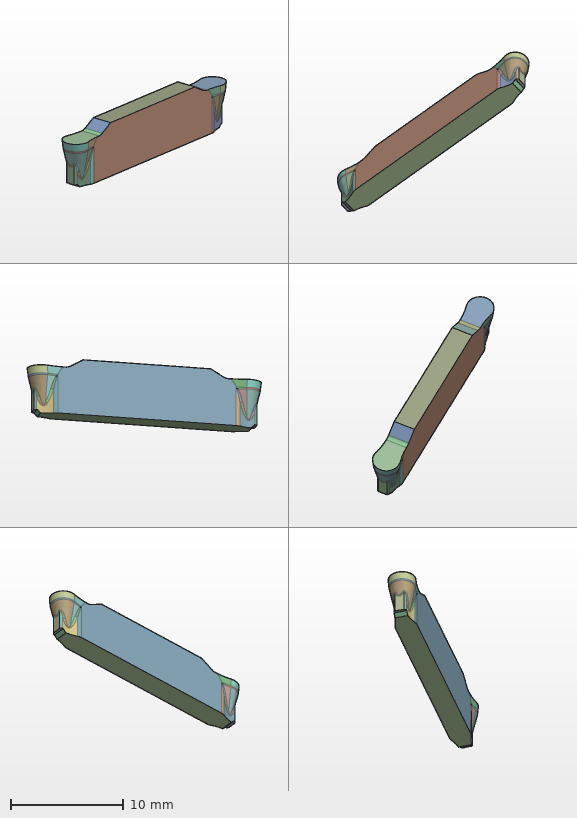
import cadquery as cq
import math


LENGTH = 21.4
HEIGHT = 5.1
BODY_WIDTH = 2.0
END_Y = LENGTH / 2
BODY_HALF = BODY_WIDTH / 2

RAKE_Z = 4.31
CREST_END_Y = 5.85
RAMP_ANGLE = 30
RAMP_FILLET = 0.9
RAMP_FOOT_Y = CREST_END_Y + (HEIGHT - RAKE_Z) / math.tan(math.radians(RAMP_ANGLE))
WAIST_Y = RAMP_FOOT_Y + RAMP_FILLET * math.tan(math.radians(RAMP_ANGLE / 2))

NOSE_Y = 10.235
NOSE_HALF = 0.59
NOSE_FLAT_HALF = 0.42
NOSE_CORNER_Y = 10.02
SHOULDER_Y = 8.17
FLARE_END_Y = 8.55
FLARE_RISE = 0.33
CHAMFER_Z = 0.32
CHAMFER_START_Y = 9.655

HEAD_DIAMETER = 2.49
PRIMARY_FRONT_ANGLE = 7
PRIMARY_SIDE_ANGLE = 4
PRIMARY_WAIST_ANGLE = 3
SECONDARY_FRONT_ANGLE = 13.5
PRIMARY_END_Z = 3.57
SECONDARY_START_Z = 3.42
HEAD_BOTTOM_Z = 0.5
HEAD_BOTTOM_RADIUS = 0.62
HEAD_BOTTOM_WAIST_HALF = 0.61

JUNCTION_FILLET = 0.5
MIN_JUNCTION_RISE = 0.01


def arc_middle(start, end, center):
    """Point halfway along the short arc between two points around a center."""
    mid_x = (start[0] + end[0]) / 2 - center[0]
    mid_y = (start[1] + end[1]) / 2 - center[1]
    radius = math.hypot(start[0] - center[0], start[1] - center[1])
    scale = radius / math.hypot(mid_x, mid_y)
    return (center[0] + mid_x * scale, center[1] + mid_y * scale)


def mirrored(point):
    return (-point[0], point[1])


def make_profile():
    """Side profile with ramps and bottom chamfers, wide enough to cover the body."""
    chamfer_end_y = CHAMFER_START_Y + CHAMFER_Z
    half = [
        (CREST_END_Y, HEIGHT),
        (RAMP_FOOT_Y, RAKE_Z),
        (NOSE_Y, RAKE_Z),
        (NOSE_Y, CHAMFER_Z),
        (chamfer_end_y, CHAMFER_Z),
        (CHAMFER_START_Y, 0),
    ]
    outline = half + [mirrored(point) for point in reversed(half)]
    profile = cq.Workplane("YZ").polyline(outline).close().extrude(BODY_HALF, both=True)
    for side in (-1, 1):
        foot = cq.selectors.NearestToPointSelector((0, side * RAMP_FOOT_Y, RAKE_Z))
        profile = profile.edges(foot).fillet(RAMP_FILLET)
    return profile


def make_plan():
    """Plan shape of the body: straight sides blending by two tangent arcs into each nose."""
    flare_length = NOSE_CORNER_Y - FLARE_END_Y
    flare_radius = (flare_length**2 + FLARE_RISE**2) / (2 * FLARE_RISE)
    flare_center = (NOSE_HALF + flare_radius, NOSE_CORNER_Y)
    shoulder = (BODY_HALF, SHOULDER_Y)
    flare_end = (NOSE_HALF + FLARE_RISE, FLARE_END_Y)
    corner = (NOSE_HALF, NOSE_CORNER_Y)
    flat_end = (NOSE_FLAT_HALF, NOSE_Y)

    step_x = BODY_HALF - flare_end[0]
    step_y = FLARE_END_Y - SHOULDER_Y
    shoulder_radius = (step_x**2 + step_y**2) / (2 * step_x)
    shoulder_center = (BODY_HALF - shoulder_radius, SHOULDER_Y)
    shoulder_mid = arc_middle(shoulder, flare_end, shoulder_center)
    flare_mid = arc_middle(flare_end, corner, flare_center)
    corner_mid = arc_middle(corner, flat_end, (NOSE_FLAT_HALF, NOSE_CORNER_Y))

    half = (
        cq.Workplane("XY")
        .moveTo(BODY_HALF, 0)
        .lineTo(*shoulder)
        .threePointArc(shoulder_mid, flare_end)
        .threePointArc(flare_mid, corner)
        .threePointArc(corner_mid, flat_end)
        .lineTo(*mirrored(flat_end))
        .threePointArc(mirrored(corner_mid), mirrored(corner))
        .threePointArc(mirrored(flare_mid), mirrored(flare_end))
        .threePointArc(mirrored(shoulder_mid), mirrored(shoulder))
        .lineTo(-BODY_HALF, 0)
        .close()
        .extrude(HEIGHT)
    )
    return half.union(half.mirror("XZ"))


def head_section(z, radius, tip_y, waist_half):
    """Keyhole outline: round end joined by tangent concave arcs to a waist."""
    center_y = tip_y - radius
    rise = center_y - WAIST_Y
    neck_radius = (rise**2 + waist_half**2 - radius**2) / (2 * (radius - waist_half))
    neck_center = (waist_half + neck_radius, WAIST_Y)
    share = radius / (radius + neck_radius)
    tangent = (neck_center[0] * share, center_y - rise * share)
    waist = (waist_half, WAIST_Y)
    neck_mid = arc_middle(waist, tangent, neck_center)
    return (
        cq.Workplane("XY", origin=(0, 0, z))
        .moveTo(*waist)
        .threePointArc(neck_mid, tangent)
        .threePointArc((0, tip_y), mirrored(tangent))
        .threePointArc(mirrored(neck_mid), mirrored(waist))
        .close()
        .wire()
        .val()
    )


def inset(height, angle):
    """Inward shift of a flank over a height at a clearance angle."""
    return height * math.tan(math.radians(angle))


def make_head():
    """Upper and lower parts of the cutting head at the +Y end, ruled between four levels."""
    edge_radius = HEAD_DIAMETER / 2
    primary_height = RAKE_Z - PRIMARY_END_Z
    side_inset = inset(primary_height, PRIMARY_SIDE_ANGLE)
    primary = (
        edge_radius - side_inset,
        END_Y - inset(primary_height, PRIMARY_FRONT_ANGLE),
        BODY_HALF - inset(primary_height, PRIMARY_WAIST_ANGLE),
    )

    band_height = PRIMARY_END_Z - SECONDARY_START_Z
    secondary_side_slope = (primary[0] - HEAD_BOTTOM_RADIUS) / (PRIMARY_END_Z - HEAD_BOTTOM_Z)
    secondary_side_angle = math.degrees(math.atan(secondary_side_slope))
    band_side_inset = inset(band_height, (PRIMARY_SIDE_ANGLE + secondary_side_angle) / 2)
    band_front_inset = inset(band_height, (PRIMARY_FRONT_ANGLE + SECONDARY_FRONT_ANGLE) / 2)
    band_waist_inset = inset(band_height, PRIMARY_WAIST_ANGLE)
    secondary = (
        primary[0] - band_side_inset,
        primary[1] - band_front_inset,
        primary[2] - band_waist_inset,
    )
    bottom_tip_y = secondary[1] - inset(SECONDARY_START_Z - HEAD_BOTTOM_Z, SECONDARY_FRONT_ANGLE)

    edge_outline = head_section(RAKE_Z, edge_radius, END_Y, BODY_HALF)
    primary_outline = head_section(PRIMARY_END_Z, *primary)
    secondary_outline = head_section(SECONDARY_START_Z, *secondary)
    bottom_outline = head_section(
        HEAD_BOTTOM_Z, HEAD_BOTTOM_RADIUS, bottom_tip_y, HEAD_BOTTOM_WAIST_HALF
    )
    upper = cq.Solid.makeLoft([edge_outline, primary_outline, secondary_outline], True)
    lower = cq.Solid.makeLoft([secondary_outline, bottom_outline], True)
    return cq.Workplane(upper), cq.Workplane(lower)


def is_junction(edge):
    """Curved, sloping edge where the head's secondary flank runs into the column."""
    box = edge.BoundingBox()
    mid_z = (box.zmin + box.zmax) / 2
    is_sloping = box.zmax - box.zmin > MIN_JUNCTION_RISE
    return edge.geomType() != "LINE" and is_sloping and mid_z > HEAD_BOTTOM_Z


def make_end(body):
    """Lower +Y half of the body with its head, the lower head blended into the column."""
    upper_head, lower_head = make_head()
    base = cq.Workplane("XY").box(
        HEAD_DIAMETER, END_Y, SECONDARY_START_Z, centered=(True, False, False)
    )
    lower_end = body.intersect(base).union(lower_head)
    junction = [edge for edge in lower_end.edges().vals() if is_junction(edge)]
    blended = lower_end.newObject(junction).fillet(JUNCTION_FILLET)
    return blended.union(upper_head)


body = make_profile().intersect(make_plan())
end = make_end(body)
result = body.union(end).union(end.mirror("XZ"))